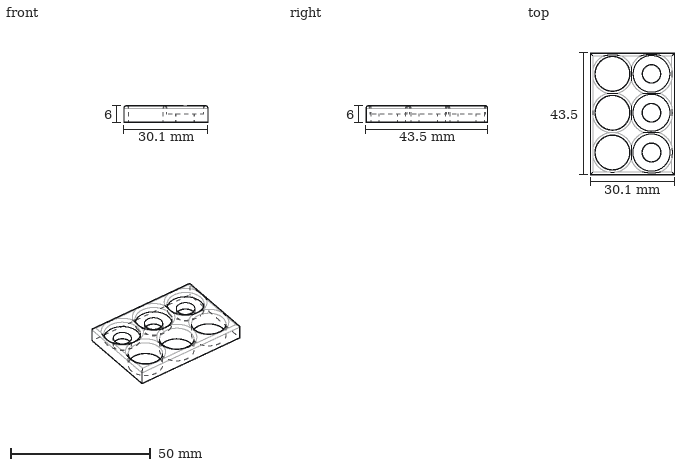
import cadquery as cq

LENGTH = 43.45
WIDTH = 30.1
HEIGHT = 6.0
EDGE_ROUND = 1.0

MIDDLE_ROW_Y = 0.45
UPPER_ROW_PITCH = 13.9
LOWER_ROW_PITCH = 14.2
ROW_POSITIONS = [MIDDLE_ROW_Y - LOWER_ROW_PITCH, MIDDLE_ROW_Y, MIDDLE_ROW_Y + UPPER_ROW_PITCH]
THROUGH_COLUMN_X = -7.12
STEPPED_COLUMN_X = 6.8

THROUGH_DIAMETER = 12.35
POCKET_DIAMETERS = [13.3, 13.2, 13.1]
BORE_DIAMETERS = [6.65, 6.55, 6.47]
POCKET_DEPTH = 3.0


def make_body():
    """Rectangular plate with its upper outside edges rounded."""
    plate = cq.Workplane("XY").box(WIDTH, LENGTH, HEIGHT, centered=(True, True, False))
    return plate.faces(">Z").edges().fillet(EDGE_ROUND)


def round_cutter(x, y, diameter, floor):
    """Cylinder from floor to the top face, flaring out in a convex rounded mouth."""
    radius = diameter / 2
    profile = (
        cq.Workplane("XZ")
        .moveTo(0, floor)
        .lineTo(radius, floor)
        .lineTo(radius, HEIGHT - EDGE_ROUND)
        .radiusArc((radius + EDGE_ROUND, HEIGHT), EDGE_ROUND)
        .lineTo(0, HEIGHT)
        .close()
    )
    return profile.revolve(360, (0, 0, 0), (0, 1, 0)).translate((x, y, 0))


def bore_cutter(x, y, diameter):
    """Plain cylinder through the full height."""
    return cq.Workplane("XY").center(x, y).circle(diameter / 2).extrude(HEIGHT)


result = make_body()
rows = zip(ROW_POSITIONS, POCKET_DIAMETERS, BORE_DIAMETERS)
for row_y, pocket, bore in rows:
    result = result.cut(round_cutter(THROUGH_COLUMN_X, row_y, THROUGH_DIAMETER, 0))
    result = result.cut(round_cutter(STEPPED_COLUMN_X, row_y, pocket, HEIGHT - POCKET_DEPTH))
    result = result.cut(bore_cutter(STEPPED_COLUMN_X, row_y, bore))